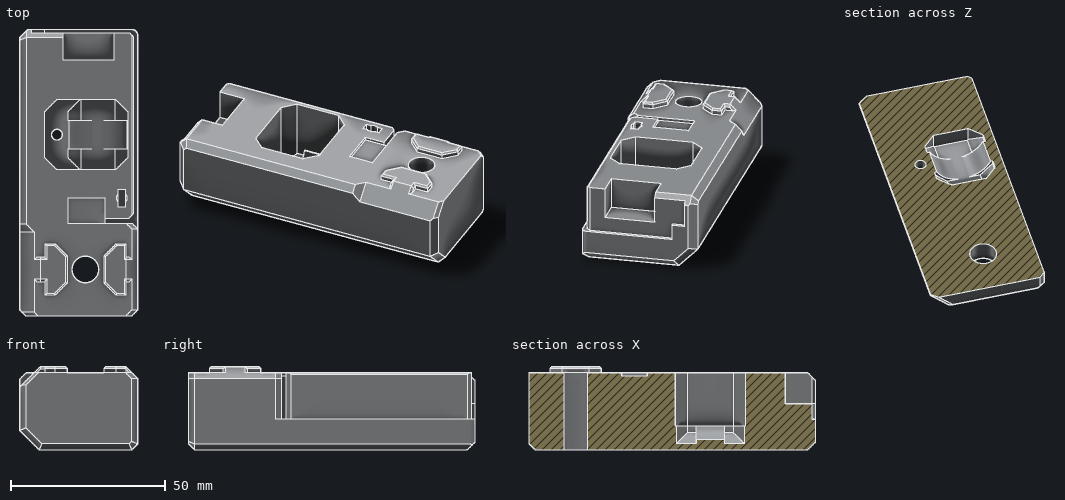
import cadquery as cq
import math

WIDTH = 38.2
LENGTH = 92.75
BODY_TOP = 25.0
CLIP_TOP = 27.0
REACH = 278.25

LEFT_BOTTOM_CHAMFER = 6.3
RIGHT_CHAMFER = 1.95
LEFT_TOP_CHAMFER = 2.1
FRONT_LEFT_CHAMFER = 4.7
FRONT_LEFT_END = 27.2

FRONT_BEVEL = 2.0
FRONT_SLOPE_BEVEL = 1.3
REAR_BEVEL = 2.6
CORNER_RADIUS = 1.95

LEDGE_Z = 10.0
LEFT_LEDGE_Z = 15.0
LEFT_LEDGE_X = 3.9
LEDGE_X = 8.1
LID_RIGHT = 36.8
LID_REAR = 91.6
LID_FRONT = 31.5
LID_CORNER = 1.7
LID_REAR_CORNER = 1.3
FRONT_BLOCK_END = 30.05
FRONT_BLOCK_BEVEL = 1.9

NOTCH_LEFT = 14.0
NOTCH_RIGHT = 30.5
NOTCH_FRONT = 82.9
NOTCH_Z = 15.0

POCKET_LEFT = 8.1
POCKET_RIGHT = 35.0
POCKET_FRONT = 47.4
POCKET_REAR = 70.0
POCKET_CORNER = 3.9
SHELF_Z = 7.8
TROUGH_LEFT = 15.6
TROUGH_Z = 1.5
TROUGH_SLOPE = 4.2
CRADLE_RADIUS = 10.0
CRADLE_FRONT = 54.1
CRADLE_REAR = 63.35
CRADLE_GAP = 4.0
PIN_HOLE_DIAMETER = 3.4
PIN_HOLE_X = 12.1

RECESS_LEFT = 15.7
RECESS_RIGHT = 27.55
RECESS_REAR = 38.2
RECESS_DEPTH = 1.0
KEY_X = 33.0
KEY_Y = 38.2
KEY_WIDTH = 2.5
KEY_LENGTH = 5.7
KEY_DEPTH = 10.0
KEY_HOLE_DIAMETER = 3.4
KEY_HOLE_DEPTH = 5.0

CLIP_Y = 15.1
CLIP_LENGTH = 16.6
CLIP_WIDTH = 7.1
CLIP_CORNER = 3.9
CLIP_EDGE = 0.6
CLIP_FOOT = 0.9
ARM_LENGTH = 8.0
ARM_EDGE = 0.8
LEFT_CLIP_X = 8.3
RIGHT_CLIP_X = 34.4
THROUGH_HOLE_X = 21.2
THROUGH_HOLE_DIAMETER = 8.5


def half_space(point, normal):
    """Solid filling the side of a plane that its normal points into."""
    plane = cq.Plane(origin=point, normal=normal)
    return cq.Workplane(plane).rect(REACH, REACH).extrude(REACH)


def block(x, y, z):
    """Box given by its (low, high) limits along each axis."""
    size = [high - low for low, high in (x, y, z)]
    return cq.Workplane("XY").box(*size, centered=False).translate((x[0], y[0], z[0]))


def prism(points, bottom, top):
    """Upright prism on a plan outline."""
    return cq.Workplane("XY").workplane(offset=bottom).polyline(points).close().extrude(top - bottom)


def octagon(left, right, front, rear, corner, bottom, top):
    """Upright rectangular prism with its four vertical edges chamfered."""
    return block((left, right), (front, rear), (bottom, top)).edges("|Z").chamfer(corner)


def cylinder(x, y, diameter, bottom, top):
    return cq.Workplane("XY", origin=(x, y, bottom)).circle(diameter / 2).extrude(top - bottom)


def make_body():
    profile = [
        (LEFT_BOTTOM_CHAMFER, 0),
        (WIDTH - RIGHT_CHAMFER, 0),
        (WIDTH, RIGHT_CHAMFER),
        (WIDTH, BODY_TOP),
        (0, BODY_TOP),
        (0, LEFT_BOTTOM_CHAMFER),
    ]
    body = cq.Workplane("XZ").polyline(profile).close().extrude(-LENGTH)
    return body.edges("|Z").edges(">X").edges(">Y").fillet(CORNER_RADIUS)


def make_clip(inner_direction, back_x, side_x, slope_start_z):
    """Clip with two cut corners towards the hole and an arm reaching the side slope."""
    front = CLIP_Y - CLIP_LENGTH / 2
    rear = CLIP_Y + CLIP_LENGTH / 2
    shoulder_x = back_x + inner_direction * (CLIP_WIDTH - CLIP_CORNER)
    inner_x = back_x + inner_direction * CLIP_WIDTH
    outline = [
        (back_x, front),
        (shoulder_x, front),
        (inner_x, front + CLIP_CORNER),
        (inner_x, rear - CLIP_CORNER),
        (shoulder_x, rear),
        (back_x, rear),
    ]
    bottom = BODY_TOP - CLIP_FOOT
    pad = prism(outline, bottom, CLIP_TOP).faces(">Z").chamfer(CLIP_EDGE)

    half_arm = ARM_LENGTH / 2
    arm_x = sorted((side_x, shoulder_x))
    arm = block(arm_x, (CLIP_Y - half_arm, CLIP_Y + half_arm), (bottom, CLIP_TOP))
    arm = arm.edges(">Z and |X").chamfer(ARM_EDGE)
    for end in (-1, 1):
        bevel_start = (side_x, CLIP_Y + end * (half_arm - ARM_EDGE), slope_start_z)
        arm = arm.cut(half_space(bevel_start, (-inner_direction, end, 1)))
    return pad.union(arm)


def cut_side_slopes(part):
    """Long 45 degree chamfers along the top edges, running up over the clips."""
    left = half_space((0, 0, BODY_TOP - LEFT_TOP_CHAMFER), (-1, 0, 1))
    right = half_space((WIDTH, 0, BODY_TOP - RIGHT_CHAMFER), (1, 0, 1))
    wide_start = BODY_TOP - FRONT_LEFT_CHAMFER
    wide_left = half_space((0, 0, wide_start), (-1, 0, 1))
    run_out = half_space((0, FRONT_LEFT_END, wide_start), (-1, -1, 1))
    return part.cut(left).cut(right).cut(wide_left.intersect(run_out))


def cut_end_bevels(part):
    root = math.sqrt(2)
    rear_start = LENGTH - REAR_BEVEL
    planes = [
        ((0, FRONT_BEVEL, 0), (-1, -1, 0)),
        ((WIDTH, FRONT_BEVEL, 0), (1, -1, 0)),
        ((0, FRONT_BEVEL, 0), (0, -1, -1)),
        ((LEFT_BOTTOM_CHAMFER, FRONT_BEVEL, 0), (-1, -root, -1)),
        ((WIDTH - RIGHT_CHAMFER, FRONT_BEVEL, 0), (1, -root, -1)),
        ((0, FRONT_SLOPE_BEVEL, BODY_TOP - FRONT_LEFT_CHAMFER), (-1, -1, 1)),
        ((WIDTH, FRONT_BEVEL, BODY_TOP - RIGHT_CHAMFER), (1, -1, 1)),
        ((0, rear_start, 0), (-1, 1, 0)),
        ((0, rear_start, 0), (0, 1, -1)),
        ((LEFT_BOTTOM_CHAMFER, rear_start, 0), (-1, root, -1)),
        ((LEFT_TOP_CHAMFER, rear_start, BODY_TOP), (-root, 1, 1)),
    ]
    for point, normal in planes:
        part = part.cut(half_space(point, normal))
    left_side = block((0, NOTCH_LEFT), (0, LENGTH), (0, BODY_TOP))
    rear_top = half_space((0, rear_start, BODY_TOP), (0, 1, 1))
    return part.cut(rear_top.intersect(left_side))


def cut_ledge(part):
    """Deep ledge outside the lid, and the bevelled rear corner of the front block."""
    corner_y = FRONT_BLOCK_END - FRONT_BLOCK_BEVEL
    outline = [
        (RECESS_RIGHT, FRONT_BLOCK_END),
        (WIDTH - FRONT_BLOCK_BEVEL, FRONT_BLOCK_END),
        (WIDTH, corner_y),
        (WIDTH, LENGTH),
        (LEDGE_X, LENGTH),
        (LEDGE_X, LID_REAR),
        (LID_RIGHT - LID_REAR_CORNER, LID_REAR),
        (LID_RIGHT, LID_REAR - LID_REAR_CORNER),
        (LID_RIGHT, LID_FRONT + LID_CORNER),
        (LID_RIGHT - LID_CORNER, LID_FRONT),
        (RECESS_RIGHT, LID_FRONT),
    ]
    ledge = prism(outline, LEDGE_Z, BODY_TOP)
    left_ledge = block((LEFT_LEDGE_X, LEDGE_X), (LID_REAR, LENGTH), (LEFT_LEDGE_Z, BODY_TOP))
    front_block = block((0, WIDTH), (0, FRONT_BLOCK_END), (0, BODY_TOP))
    slope_end = half_space((WIDTH, corner_y, BODY_TOP - RIGHT_CHAMFER), (1, 1, 1))
    return part.cut(ledge).cut(left_ledge).cut(slope_end.intersect(front_block))


def cut_pocket(part):
    """Octagonal pocket down to a shelf, with a sloped trough and a round cradle across it."""
    ends = (POCKET_FRONT, POCKET_REAR)
    center_x = (TROUGH_LEFT + POCKET_RIGHT) / 2
    upper = octagon(POCKET_LEFT, POCKET_RIGHT, *ends, POCKET_CORNER, SHELF_Z, BODY_TOP)
    trough = octagon(TROUGH_LEFT, POCKET_RIGHT, *ends, POCKET_CORNER, TROUGH_Z, SHELF_Z)
    slope_top = TROUGH_Z + TROUGH_SLOPE
    trough = trough.cut(half_space((TROUGH_LEFT, 0, slope_top), (-1, 0, -1)))
    trough = trough.cut(half_space((POCKET_RIGHT, 0, slope_top), (1, 0, -1)))

    axis_z = TROUGH_Z + math.sqrt(CRADLE_RADIUS**2 - (CRADLE_GAP / 2) ** 2)
    cradle = block((TROUGH_LEFT, POCKET_RIGHT), (CRADLE_FRONT, CRADLE_REAR), (TROUGH_Z, SHELF_Z))
    roller = (
        cq.Workplane("XZ", origin=(center_x, CRADLE_FRONT, axis_z))
        .circle(CRADLE_RADIUS)
        .extrude(CRADLE_FRONT - CRADLE_REAR)
    )
    trough = trough.cut(cradle.cut(roller))

    pin_hole = cylinder(PIN_HOLE_X, sum(ends) / 2, PIN_HOLE_DIAMETER, 0, BODY_TOP)
    return part.cut(upper).cut(trough).cut(pin_hole)


def cut_notch_and_recess(part):
    notch = block((NOTCH_LEFT, NOTCH_RIGHT), (NOTCH_FRONT, LENGTH), (NOTCH_Z, BODY_TOP))
    recess = block(
        (RECESS_LEFT, RECESS_RIGHT),
        (FRONT_BLOCK_END, RECESS_REAR),
        (BODY_TOP - RECESS_DEPTH, BODY_TOP),
    )
    return part.cut(notch).cut(recess)


def cut_keyed_hole(part):
    slot = block(
        (KEY_X - KEY_WIDTH / 2, KEY_X + KEY_WIDTH / 2),
        (KEY_Y - KEY_LENGTH / 2, KEY_Y + KEY_LENGTH / 2),
        (BODY_TOP - KEY_DEPTH, BODY_TOP),
    )
    hole = cylinder(KEY_X, KEY_Y, KEY_HOLE_DIAMETER, BODY_TOP - KEY_HOLE_DEPTH, BODY_TOP)
    return part.cut(slot).cut(hole)


part = make_body()
part = part.union(make_clip(1, LEFT_CLIP_X, 0, BODY_TOP - FRONT_LEFT_CHAMFER))
part = part.union(make_clip(-1, RIGHT_CLIP_X, WIDTH, BODY_TOP - RIGHT_CHAMFER))
part = cut_side_slopes(part)
part = cut_end_bevels(part)
part = cut_ledge(part)
part = cut_pocket(part)
part = cut_notch_and_recess(part)
part = cut_keyed_hole(part)
result = part.cut(cylinder(THROUGH_HOLE_X, CLIP_Y, THROUGH_HOLE_DIAMETER, 0, BODY_TOP))